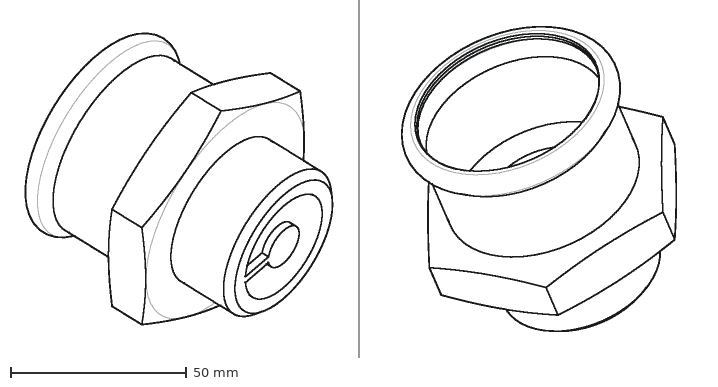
import cadquery as cq
import math

total_length = 71.0
corner_diameter = 80.8
flat_radius = corner_diameter / 2 * math.cos(math.pi / 6)

tube_radius = 57.7 / 2
bead_radius = 32.6
bead_section_radius = 3.55
bead_center_radius = bead_radius - bead_section_radius
bead_cone_start = 5.7
bead_cone_end = 9.1

bead_wall = 1.8
mouth_radius = 27.65
mouth_chamfer_length = 0.7
lip_radius = 27.3
groove_cone_start = 4.6
groove_cone_end = 8.7
bore_radius = 27.1
socket_depth = 35.1

hex_start = 33.55
hex_end = 49.0
hex_start_chamfer_angle = 13.8
hex_end_chamfer_angle = 15

spigot_radius = 47.8 / 2
spigot_chamfer_start = 68.6
spigot_tip_radius = 21.6
through_radius = 17.0

disc_radius = 6.8
arm_width = 2.4
disc_thickness = 2.4
arm_overlap = 0.8


def revolve_profile(profile):
    """Close an (X, radius) profile and revolve it about the X axis."""
    return profile.close().revolve(360, (0, 0, 0), (1, 0, 0))


def bead_arc_radius(section_radius, station):
    """Distance from the X axis of an arc about the bead center, at a station along X."""
    return bead_center_radius + math.sqrt(section_radius**2 - (station - bead_section_radius) ** 2)


def outer_body():
    cone_start_radius = bead_arc_radius(bead_section_radius, bead_cone_start)
    profile = (
        cq.Workplane("XY")
        .moveTo(0, 0)
        .lineTo(0, bead_center_radius)
        .threePointArc(
            (bead_section_radius, bead_radius),
            (bead_cone_start, cone_start_radius),
        )
        .lineTo(bead_cone_end, tube_radius)
        .lineTo(hex_end, tube_radius)
        .lineTo(hex_end, spigot_radius)
        .lineTo(spigot_chamfer_start, spigot_radius)
        .lineTo(total_length, spigot_tip_radius)
        .lineTo(total_length, 0)
    )
    return revolve_profile(profile)


def hexagon():
    """Hexagon with corners on the Z axis, chamfered by a cone at each end."""
    corner_radius = corner_diameter / 2
    start_setback = (corner_radius - tube_radius) * math.tan(math.radians(hex_start_chamfer_angle))
    end_setback = (corner_radius - flat_radius) * math.tan(math.radians(hex_end_chamfer_angle))
    prism = (
        cq.Workplane("YZ", origin=(hex_start, 0, 0))
        .polygon(6, corner_diameter)
        .extrude(hex_end - hex_start)
        .rotate((0, 0, 0), (1, 0, 0), 30)
    )
    envelope = revolve_profile(
        cq.Workplane("XY")
        .moveTo(hex_start, 0)
        .lineTo(hex_start, tube_radius)
        .lineTo(hex_start + start_setback, corner_radius)
        .lineTo(hex_end - end_setback, corner_radius)
        .lineTo(hex_end, flat_radius)
        .lineTo(hex_end, 0)
    )
    return prism.intersect(envelope)


def inner_cavity():
    """Socket with a lip and a seal groove at its mouth, followed by the through hole."""
    groove_section_radius = bead_section_radius - bead_wall
    cone_start_radius = bead_arc_radius(groove_section_radius, groove_cone_start)
    return revolve_profile(
        cq.Workplane("XY")
        .moveTo(0, 0)
        .lineTo(0, mouth_radius)
        .lineTo(mouth_chamfer_length, lip_radius)
        .lineTo(bead_wall, lip_radius)
        .lineTo(bead_wall, bead_center_radius)
        .threePointArc(
            (bead_section_radius, bead_radius - bead_wall),
            (groove_cone_start, cone_start_radius),
        )
        .lineTo(groove_cone_end, bore_radius)
        .lineTo(socket_depth, bore_radius)
        .lineTo(socket_depth, through_radius)
        .lineTo(total_length, through_radius)
        .lineTo(total_length, 0)
    )


def disc_and_arm():
    """Disc on the axis with its arm reaching the -Y wall of the through hole."""
    arm_length = through_radius + arm_overlap
    plane = cq.Workplane("YZ", origin=(total_length - disc_thickness, 0, 0))
    disc = plane.circle(disc_radius).extrude(disc_thickness)
    arm = plane.center(-arm_length / 2, 0).rect(arm_length, arm_width).extrude(disc_thickness)
    return disc.union(arm)


result = outer_body().union(hexagon()).cut(inner_cavity()).union(disc_and_arm())